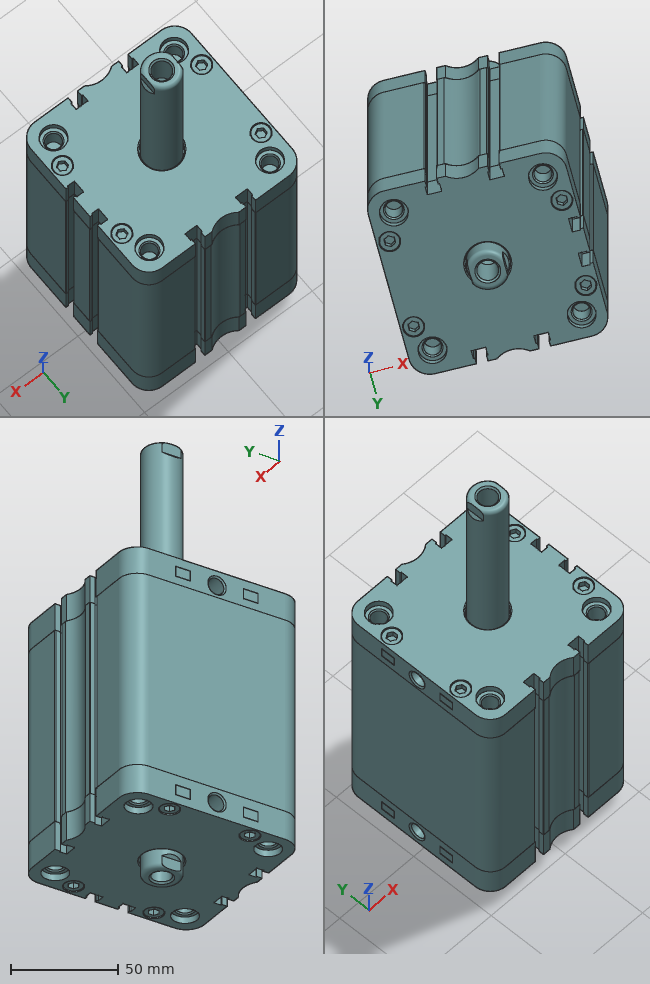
import cadquery as cq
import math


body_width = 95.5
half_width = body_width / 2
corner_radius = 10.0
lower_cap_height = 15.3
tube_height = 104.2
upper_cap_height = 14.5
lower_seam = lower_cap_height
upper_seam = lower_seam + tube_height
body_height = upper_seam + upper_cap_height

slot_neck_width = 5.5
slot_width = 7.0
slot_neck_depth = 3.0
slot_depth = 7.0
slot_offset = 15.0
side_slot_neck_depth = 1.6
side_slot_depth = 5.5
side_slot_offset = 9.0
scallop_width = 16.0
scallop_depth = 2.8
slot_edge_chamfer = 0.5
scallop_lip_width = 0.7
scallop_lip_drop = 0.2

rod_diameter = 20.0
rod_lower_length = 9.0
rod_length = 232
rod_end_fillet = 2.0
flats_across = 17.0
flats_length = 6.0
rod_thread_diameter = 10.2
rod_thread_mouth = 12.0
rod_thread_depth = 20.0
drill_point_angle = 118

rod_opening_mouth = 22.5
rod_opening_diameter = 21.3
rod_opening_depth = 4.6

mounting_offset = 36.0
mounting_recess_diameter = 13.5
mounting_recess_depth = 3.5
mounting_mouth_diameter = 9.7
mounting_hole_diameter = 8.4
mounting_hole_depth = 14.0

screw_x = 41.5
screw_y = 22.3
screw_recess_diameter = 10.2
screw_head_diameter = 9.5
screw_head_height = 4.2
screw_recess_depth = 4.6
screw_socket_across = 4.9
screw_socket_depth = 3.0

port_mouth_diameter = 10.2
port_diameter = 8.5
port_depth = 11.5
port_distance = 8.0
label_width = 8.1
label_height = 5.3
label_depth = 0.2
label_offset = 18.8
label_distance = 7.5


def turned(shape, angle):
    """Shape turned about the Z axis."""
    return shape.rotate((0, 0, 0), (0, 0, 1), angle)


def slot_cutter(height, offset, neck_depth, depth, has_broken_edges):
    """T-slot cutter for the +Y side, set at X = offset, with an optional chamfer at the mouth."""
    half_neck = slot_neck_width / 2
    half_slot = slot_width / 2
    half_mouth = half_neck + slot_edge_chamfer
    right_half = [
        (half_slot, half_width - depth),
        (half_slot, half_width - neck_depth),
        (half_neck, half_width - neck_depth),
    ]
    if has_broken_edges:
        right_half += [(half_neck, half_width - slot_edge_chamfer), (half_mouth, half_width)]
    else:
        right_half.append((half_neck, half_width))
    left_half = [(-x, y) for x, y in reversed(right_half)]
    profile = cq.Workplane("XY").polyline(right_half + left_half).close()
    return profile.extrude(height).translate((offset, 0, 0))


def scallop_cutter(height, has_broken_edges):
    """Shallow round channel along the middle of the +Y side, with optional sloped lips."""
    half_scallop = scallop_width / 2
    half_mouth = half_scallop + scallop_lip_width
    arc_end_y = half_width - scallop_lip_drop if has_broken_edges else half_width
    sketch = cq.Workplane("XY").moveTo(-half_scallop, arc_end_y)
    sketch = sketch.threePointArc((0, half_width - scallop_depth), (half_scallop, arc_end_y))
    if has_broken_edges:
        sketch = sketch.lineTo(half_mouth, half_width).lineTo(-half_mouth, half_width)
    return sketch.close().extrude(height)


def profile_block(bottom, height, has_broken_edges):
    """Block with all lengthwise slots and scallops, bored for the rod."""
    block = cq.Workplane("XY").rect(body_width, body_width).extrude(height)
    block = block.edges("|Z").fillet(corner_radius)
    scallop = scallop_cutter(height, has_broken_edges)
    for angle in (0, 180):
        block = block.cut(turned(scallop, angle))
    for side in (-1, 1):
        slot = slot_cutter(
            height, side * slot_offset, slot_neck_depth, slot_depth, has_broken_edges
        )
        for angle in (0, 180):
            block = block.cut(turned(slot, angle))
        side_slot = slot_cutter(
            height, side * side_slot_offset, side_slot_neck_depth, side_slot_depth, has_broken_edges
        )
        block = block.cut(turned(side_slot, -90))
    rod_bore = cq.Workplane("XY").circle(rod_diameter / 2).extrude(height)
    return block.cut(rod_bore).translate((0, 0, bottom))


def stepped_cutter(steps):
    """Round cutter along -Z from Z = 0; steps lists (diameter, depth) down the wall."""
    points = [(0, 0)]
    points += [(diameter / 2, -depth) for diameter, depth in steps]
    last_diameter, last_depth = steps[-1]
    if last_diameter > 0:
        points.append((0, -last_depth))
    return cq.Workplane("XZ").polyline(points).close().revolve(360, (0, 0), (0, 1))


def mounting_hole_cutter():
    """Recess with a flat floor and a chamfered hole below it."""
    mouth_chamfer = (mounting_mouth_diameter - mounting_hole_diameter) / 2
    return stepped_cutter([
        (mounting_recess_diameter, 0),
        (mounting_recess_diameter, mounting_recess_depth),
        (mounting_mouth_diameter, mounting_recess_depth),
        (mounting_hole_diameter, mounting_recess_depth + mouth_chamfer),
        (mounting_hole_diameter, mounting_hole_depth),
    ])


def screw_cutter():
    """Round recess, leaving a screw head with its hexagon socket standing in it."""
    recess = cq.Workplane("XY").circle(screw_recess_diameter / 2).extrude(-screw_recess_depth)
    across_corners = screw_socket_across / math.cos(math.radians(30))
    head = (
        cq.Workplane("XY")
        .workplane(offset=-screw_recess_depth)
        .circle(screw_head_diameter / 2)
        .extrude(screw_head_height)
        .faces(">Z")
        .workplane()
        .transformed(rotate=(0, 0, 90))
        .polygon(6, across_corners)
        .cutBlind(-screw_socket_depth)
    )
    return recess.cut(head)


def rod_opening_cutter():
    """Chamfered clearance around the rod at the outer end of a cap."""
    mouth_chamfer = (rod_opening_mouth - rod_opening_diameter) / 2
    return stepped_cutter([
        (rod_opening_mouth, 0),
        (rod_opening_diameter, mouth_chamfer),
        (rod_opening_diameter, rod_opening_depth),
    ])


def end_face_cutters():
    """All cutters of a cap's outer face, placed for a face at Z = 0 that looks up."""
    cutters = [rod_opening_cutter()]
    for side_x in (-1, 1):
        for side_y in (-1, 1):
            hole_place = (side_x * mounting_offset, side_y * mounting_offset, 0)
            cutters.append(mounting_hole_cutter().translate(hole_place))
            cutters.append(screw_cutter().translate((side_x * screw_x, side_y * screw_y, 0)))
    return cutters


def side_face_cutters(port_z, label_z):
    """Air port and its two label recesses on the -X side."""
    mouth_chamfer = (port_mouth_diameter - port_diameter) / 2
    port = stepped_cutter([
        (port_mouth_diameter, 0),
        (port_diameter, mouth_chamfer),
        (port_diameter, port_depth),
    ])
    cutters = [port.rotate((0, 0, 0), (0, 1, 0), -90).translate((-half_width, 0, port_z))]
    for side in (-1, 1):
        label = cq.Workplane("XY").box(label_depth, label_width, label_height, centered=(False, True, True))
        cutters.append(label.translate((-half_width, side * label_offset, label_z)))
    return cutters


def make_upper_cap():
    """Cap at the long end of the rod."""
    cap = profile_block(upper_seam, upper_cap_height, has_broken_edges=False)
    for cutter in end_face_cutters():
        cap = cap.cut(cutter.translate((0, 0, body_height)))
    for cutter in side_face_cutters(body_height - port_distance, body_height - label_distance):
        cap = cap.cut(cutter)
    return cap


def make_lower_cap():
    """Cap at the short end of the rod, with the upper cap's features mirrored."""
    cap = profile_block(0, lower_cap_height, has_broken_edges=False)
    for cutter in end_face_cutters():
        cap = cap.cut(cutter.mirror("XY"))
    for cutter in side_face_cutters(port_distance, label_distance):
        cap = cap.cut(cutter)
    return cap


def make_tube():
    """Profile tube between the caps."""
    return profile_block(lower_seam, tube_height, has_broken_edges=True)


def rod_end_cutter():
    """Two wrench flats with sloped run-outs and a drilled hole, for a rod end at Z = 0."""
    drill_tip = rod_thread_diameter / 2 / math.tan(math.radians(drill_point_angle / 2))
    mouth_chamfer = (rod_thread_mouth - rod_thread_diameter) / 2
    cutter = stepped_cutter([
        (rod_thread_mouth, 0),
        (rod_thread_diameter, mouth_chamfer),
        (rod_thread_diameter, rod_thread_depth),
        (0, rod_thread_depth + drill_tip),
    ])
    flat = (
        cq.Workplane("XZ")
        .moveTo(flats_across / 2, 0)
        .lineTo(flats_across / 2, -flats_length)
        .lineTo(flats_across / 2 + rod_diameter, -flats_length - rod_diameter)
        .lineTo(flats_across / 2 + rod_diameter, 0)
        .close()
        .extrude(rod_diameter / 2, both=True)
    )
    return cutter.union(flat).union(flat.mirror("YZ"))


def make_rod():
    """Through rod with the same machining at both ends."""
    rod_bottom = -rod_lower_length
    rod_top = rod_bottom + rod_length
    rod = cq.Workplane("XY").workplane(offset=rod_bottom).circle(rod_diameter / 2).extrude(rod_length)
    rod = rod.edges("%CIRCLE").fillet(rod_end_fillet)
    rod = rod.cut(rod_end_cutter().translate((0, 0, rod_top)))
    return rod.cut(rod_end_cutter().mirror("XY").translate((0, 0, rod_bottom)))


lower_cap = make_lower_cap()
tube = make_tube()
upper_cap = make_upper_cap()
rod = make_rod()

bodies = [lower_cap, tube, upper_cap, rod]
result = cq.Compound.makeCompound([body.solids().val() for body in bodies])